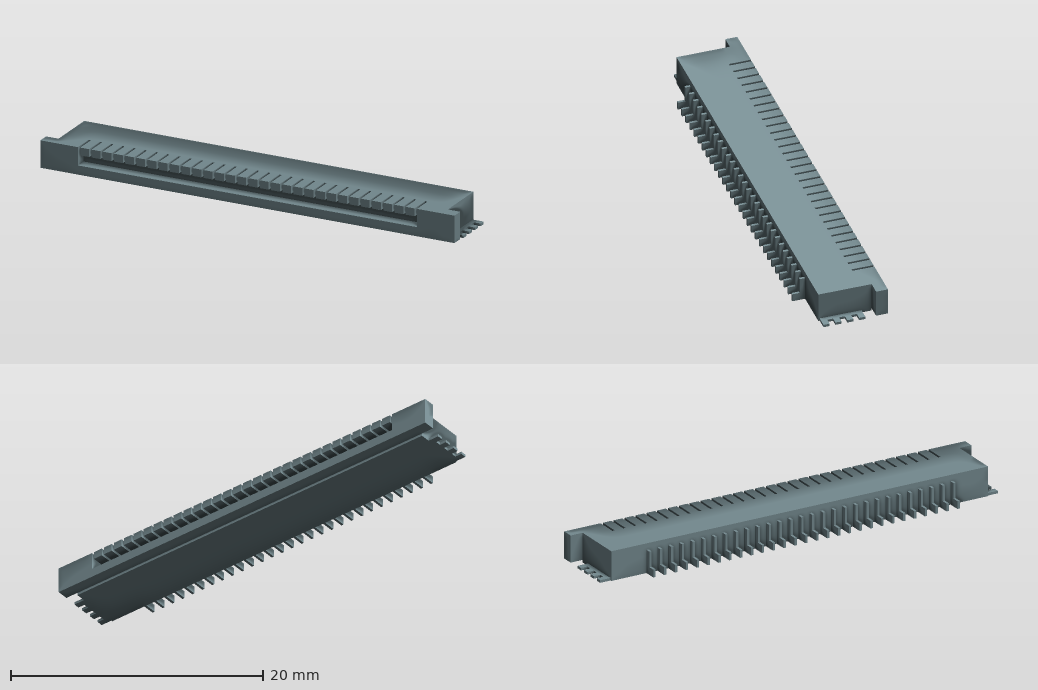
import cadquery as cq


total_length = 36.92
total_height = 2.55
housing_bottom = 0.22
housing_depth = 5.45
ear_depth = 1.0
ear_overhang = 1.1
body_length = total_length - 2 * ear_overhang

finger_count = 30
finger_row_length = 30.0
finger_pitch = finger_row_length / finger_count
finger_height = 0.65
slit_width = 0.21
slit_depth = 1.85

opening_length = finger_row_length + slit_width
opening_floor = 1.0
opening_depth = ear_depth
finger_bottom = total_height - finger_height

tail_count = finger_count - 1
tail_width = slit_width
tail_reach = 6.55
tail_riser_reach = 5.9
tail_riser_top = 2.0
tail_foot_height = 0.65

tab_count = 4
tab_pitch = 1.0
tab_width = 0.5
tab_row_start = slit_depth
tab_row_width = (tab_count - 1) * tab_pitch + tab_width
tab_tip_inset = 0.15
tab_tip_length = total_length - 2 * tab_tip_inset
tab_strip_overhang = 0.37
tab_strip_length = body_length + 2 * tab_strip_overhang


def centred_box(length, y_start, y_end, z_start, z_end, x_centre=0.0):
    """Box centred on x_centre, between the given Y and Z limits."""
    return (
        cq.Workplane("XY")
        .box(length, y_end - y_start, z_end - z_start, centered=(True, False, False))
        .translate((x_centre, y_start, z_start))
    )


def row_positions(count, pitch):
    """Evenly spaced positions, centred on 0."""
    return [(i - (count - 1) / 2) * pitch for i in range(count)]


def make_housing():
    body = centred_box(body_length, 0, housing_depth, housing_bottom, total_height)
    ears = centred_box(total_length, 0, ear_depth, housing_bottom, total_height)
    base = centred_box(body_length, ear_depth, housing_depth, 0, housing_bottom)
    return body.union(ears).union(base)


def make_cable_opening():
    return centred_box(opening_length, 0, opening_depth, opening_floor, finger_bottom)


def make_slits():
    slits = cq.Workplane("XY")
    for x in row_positions(finger_count + 1, finger_pitch):
        slits.add(centred_box(slit_width, 0, slit_depth, finger_bottom, total_height, x))
    return slits.combine()


def make_solder_tabs():
    tabs = centred_box(tab_strip_length, tab_row_start, tab_row_start + tab_row_width, 0, housing_bottom)
    for i in range(tab_count):
        y_start = tab_row_start + i * tab_pitch
        tabs = tabs.union(centred_box(tab_tip_length, y_start, y_start + tab_width, 0, housing_bottom))
    return tabs


def make_tails():
    profile = (
        cq.Workplane("YZ")
        .moveTo(housing_depth, 0)
        .lineTo(tail_reach, 0)
        .lineTo(tail_reach, tail_foot_height)
        .lineTo(tail_riser_reach, tail_foot_height)
        .lineTo(tail_riser_reach, tail_riser_top)
        .lineTo(housing_depth, tail_riser_top)
        .close()
        .extrude(tail_width / 2, both=True)
    )
    tails = cq.Workplane("XY")
    for x in row_positions(tail_count, finger_pitch):
        tails.add(profile.translate((x, 0, 0)))
    return tails.combine()


result = (
    make_housing()
    .cut(make_cable_opening())
    .cut(make_slits())
    .union(make_solder_tabs())
    .union(make_tails())
)